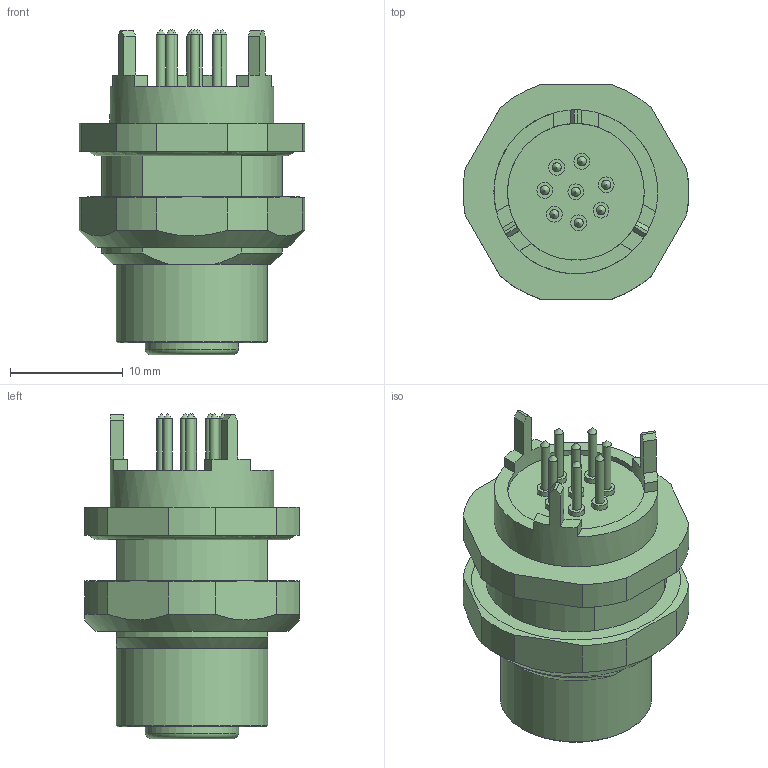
import cadquery as cq
import math


nose_height = 1.05
thread_bottom_z = 8.0
nut_bottom_z = 9.5
nut_top_z = 14.0
flange_bottom_z = 18.0
flange_top_z = 20.5
rim_top_z = 23.75
pad_height = 1.0
pad_top_z = rim_top_z + pad_height
tab_top_z = 28.7
overall_height = 28.8

nose_radius = 4.13
nose_fillet = 0.5
body_radius = 6.7
body_chamfer = 0.1

thread_radius = 8.0
thread_chamfer = 1.0
flat_distance = body_radius

hex_across_flats = 19.0
hex_corner_radius = 10.0
nut_bottom_chamfer = 1.5
nut_crown_radius = 9.25
nut_crown_drop = 0.1

seal_ring_radius = 8.3
seal_section_radius = 0.95
seal_protrusion = 0.4

rim_radius = 7.25
recess_radius = 6.05
recess_depth = 0.5
recess_floor_z = rim_top_z - recess_depth

tab_angles = (90, 210, 330)
pad_width = 4.0
tab_width = 1.0
tab_tip_width = 0.25
tab_tip_height = 0.5

pin_circle_radius = 2.75
circle_pin_count = 7
first_pin_angle = 79.0
pin_pitch_angle = 49.0
pin_radius = 0.4
pin_tip_height = 0.45
collar_radius = 0.7
collar_height = recess_depth


def disc(radius, bottom_z, top_z):
    """Solid cylinder on the Z axis."""
    return cq.Workplane("XY").workplane(offset=bottom_z).circle(radius).extrude(top_z - bottom_z)


def hexagon(bottom_z, top_z):
    """Hexagonal prism with flats facing +Y and -Y."""
    across_corners = hex_across_flats / math.cos(math.pi / 6)
    return cq.Workplane("XY").workplane(offset=bottom_z).polygon(6, across_corners).extrude(top_z - bottom_z)


def make_body():
    nose = disc(nose_radius, 0, nose_height).faces("<Z").edges().fillet(nose_fillet)
    shell = disc(body_radius, nose_height, thread_bottom_z).faces("<Z").edges().chamfer(body_chamfer)
    return shell.union(nose)


def make_thread():
    barrel = disc(thread_radius, thread_bottom_z, flange_bottom_z)
    barrel = barrel.faces("<Z").edges().chamfer(thread_chamfer)
    length = flange_bottom_z - thread_bottom_z
    between_flats = (
        cq.Workplane("XY")
        .workplane(offset=thread_bottom_z)
        .rect(2 * thread_radius, 2 * flat_distance)
        .extrude(length)
    )
    return barrel.intersect(between_flats)


def make_nut():
    """Nut with a round bore, open beside the two flats of the barrel."""
    envelope = (
        cq.Workplane("XZ")
        .moveTo(0, nut_bottom_z)
        .lineTo(hex_corner_radius - nut_bottom_chamfer, nut_bottom_z)
        .lineTo(hex_corner_radius, nut_bottom_z + nut_bottom_chamfer)
        .lineTo(hex_corner_radius, nut_top_z - nut_crown_drop)
        .lineTo(nut_crown_radius, nut_top_z)
        .lineTo(0, nut_top_z)
        .close()
        .revolve(360, (0, 0), (0, 1))
    )
    bore = disc(thread_radius, nut_bottom_z, nut_top_z)
    return hexagon(nut_bottom_z, nut_top_z).intersect(envelope).cut(bore)


def make_flange():
    envelope = disc(hex_corner_radius, flange_bottom_z, flange_top_z)
    return hexagon(flange_bottom_z, flange_top_z).intersect(envelope)


def make_seal():
    section_centre_z = flange_bottom_z - seal_protrusion + seal_section_radius
    return (
        cq.Workplane("XZ")
        .center(seal_ring_radius, section_centre_z)
        .circle(seal_section_radius)
        .revolve(360, (-seal_ring_radius, 0), (-seal_ring_radius, 1))
    )


def tab_block(angle):
    """Radial block with the stepped outline of a pad and its ground tab, turned to the given angle."""
    return (
        cq.Workplane("YZ")
        .workplane(offset=recess_radius / 2)
        .moveTo(-pad_width / 2, recess_floor_z)
        .lineTo(-pad_width / 2, pad_top_z)
        .lineTo(-tab_width / 2, pad_top_z)
        .lineTo(-tab_width / 2, tab_top_z - tab_tip_height)
        .lineTo(-tab_tip_width / 2, tab_top_z)
        .lineTo(tab_tip_width / 2, tab_top_z)
        .lineTo(tab_width / 2, tab_top_z - tab_tip_height)
        .lineTo(tab_width / 2, pad_top_z)
        .lineTo(pad_width / 2, pad_top_z)
        .lineTo(pad_width / 2, recess_floor_z)
        .close()
        .extrude(rim_radius)
        .rotate((0, 0, 0), (0, 0, 1), angle)
    )


def make_rim():
    """Recessed rim whose wall rises into the pads and ground tabs."""
    envelope = disc(hex_corner_radius, flange_top_z, rim_top_z)
    for angle in tab_angles:
        envelope = envelope.union(tab_block(angle))
    recess = disc(recess_radius, recess_floor_z, tab_top_z)
    return disc(rim_radius, flange_top_z, tab_top_z).intersect(envelope).cut(recess)


def make_pin(x, y):
    """Pointed solder pin with a collar standing on the recess floor."""
    profile = (
        cq.Workplane("XZ")
        .moveTo(0, recess_floor_z)
        .lineTo(collar_radius, recess_floor_z)
        .lineTo(collar_radius, recess_floor_z + collar_height)
        .lineTo(pin_radius, recess_floor_z + collar_height)
        .lineTo(pin_radius, overall_height - pin_tip_height)
        .lineTo(0, overall_height)
        .close()
    )
    return profile.revolve(360, (0, 0), (0, 1)).translate((x, y, 0))


result = make_body()
for section in (make_thread(), make_nut(), make_flange(), make_seal(), make_rim()):
    result = result.union(section)

result = result.union(make_pin(0, 0))
for index in range(circle_pin_count):
    pin_angle = math.radians(first_pin_angle + index * pin_pitch_angle)
    pin_x = pin_circle_radius * math.cos(pin_angle)
    pin_y = pin_circle_radius * math.sin(pin_angle)
    result = result.union(make_pin(pin_x, pin_y))